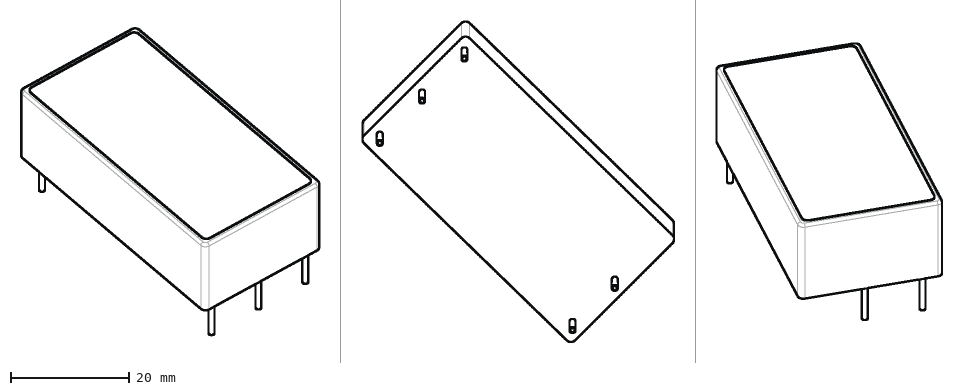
import cadquery as cq

LENGTH = 50.1
WIDTH = 25.4
HEIGHT = 15.1
CORNER_RADIUS = 1.0
TOP_EDGE_RADIUS = 0.5

LABEL_MARGIN = 1.0
LABEL_CORNER_RADIUS = 1.0
LABEL_THICKNESS = 0.1

PIN_DIAMETER = 1.05
PIN_LENGTH = 8.0
PIN_TIP_CHAMFER = 0.15
LEFT_PIN_X = -22.5
PIN_COLUMN_SPACING = 45.7
PIN_PITCH = 10.15
MIDDLE_PIN_Y = 0.425

RIGHT_PIN_X = LEFT_PIN_X + PIN_COLUMN_SPACING
FRONT_PIN_Y = MIDDLE_PIN_Y - PIN_PITCH
BACK_PIN_Y = MIDDLE_PIN_Y + PIN_PITCH

PIN_POSITIONS = [
    (LEFT_PIN_X, FRONT_PIN_Y),
    (LEFT_PIN_X, MIDDLE_PIN_Y),
    (RIGHT_PIN_X, FRONT_PIN_Y),
    (RIGHT_PIN_X, MIDDLE_PIN_Y),
    (RIGHT_PIN_X, BACK_PIN_Y),
]


def make_housing():
    """Box with rounded vertical corners and a rounded top edge."""
    return (
        cq.Workplane("XY")
        .box(LENGTH, WIDTH, HEIGHT, centered=(True, True, False))
        .edges("|Z")
        .fillet(CORNER_RADIUS)
        .faces(">Z")
        .edges()
        .fillet(TOP_EDGE_RADIUS)
    )


def make_label():
    """Thin rounded rectangle resting on the flat top of the housing."""
    return (
        cq.Workplane("XY")
        .workplane(offset=HEIGHT)
        .rect(LENGTH - 2 * LABEL_MARGIN, WIDTH - 2 * LABEL_MARGIN)
        .extrude(LABEL_THICKNESS)
        .edges("|Z")
        .fillet(LABEL_CORNER_RADIUS)
    )


def make_pin(x, y):
    """Pin whose top touches the underside of the housing, with a chamfered tip."""
    return (
        cq.Workplane("XY")
        .center(x, y)
        .circle(PIN_DIAMETER / 2)
        .extrude(-PIN_LENGTH)
        .faces("<Z")
        .chamfer(PIN_TIP_CHAMFER)
    )


housing = make_housing()
label = make_label()
pins = [make_pin(x, y) for x, y in PIN_POSITIONS]

result = cq.Compound.makeCompound(
    [housing.val(), label.val(), *[pin.val() for pin in pins]]
)